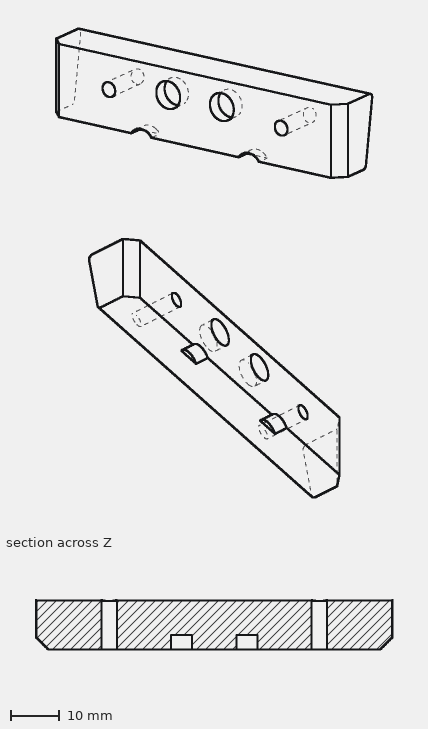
import cadquery as cq
import math

length = 73.3
depth = 11.29
height = 15.9

back_angle = 9.0
back_edge_radius = 1.0

corner_chamfer = 2.5

screw_diameter = 3.2
screw_spacing = 43.3
screw_height = 8.4

pocket_diameter = 6.0
pocket_depth = 3.0
pocket_pitch = 13.5
upper_row_height = 10.1
lower_row_height = upper_row_height - pocket_pitch * math.sin(math.radians(60))

top_corner_angle = math.radians(90 - back_angle)
top_corner_depth = depth - back_edge_radius + back_edge_radius / math.tan(top_corner_angle / 2)
bottom_corner_depth = top_corner_depth - height * math.tan(math.radians(back_angle))


def bar_body():
    """Bar with its front face on Y = 0, a sloped back face and chamfered front corners."""
    profile = [
        (0, 0),
        (bottom_corner_depth, 0),
        (top_corner_depth, height),
        (0, height),
    ]
    body = cq.Workplane("YZ").polyline(profile).close().extrude(length / 2, both=True)
    body = body.edges("|X and (not <Y)").fillet(back_edge_radius)
    return body.edges("|Z and <Y").chamfer(corner_chamfer)


def front_hole_pair(diameter, spacing, center_height, hole_depth):
    """Two cylinders running back from the front face, placed evenly about the middle of the bar."""
    centers = [(-spacing / 2, center_height), (spacing / 2, center_height)]
    return cq.Workplane("XZ").pushPoints(centers).circle(diameter / 2).extrude(-hole_depth)


screw_holes = front_hole_pair(screw_diameter, screw_spacing, screw_height, top_corner_depth)
upper_pockets = front_hole_pair(pocket_diameter, pocket_pitch, upper_row_height, pocket_depth)
lower_pockets = front_hole_pair(pocket_diameter, 2 * pocket_pitch, lower_row_height, pocket_depth)

result = bar_body().cut(screw_holes).cut(upper_pockets).cut(lower_pockets)